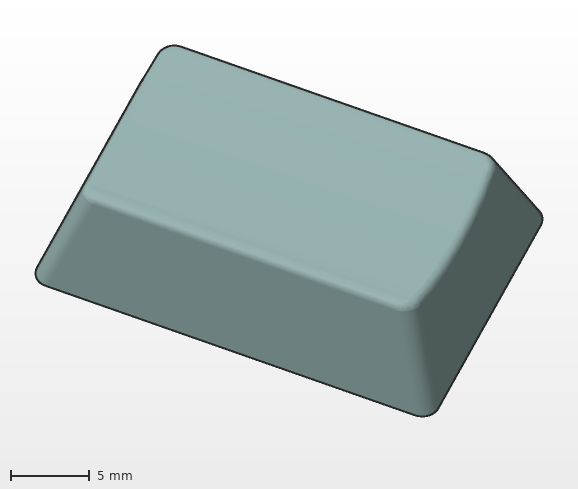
import cadquery as cq

base_length = 27.82
base_width = 18.3
wall_draft = 18.0
blank_height = 8.35
corner_radius = 1.2
dish_floor = 6.57
dish_radius = 23.65
rim_radius = 0.6


def drafted_block():
    """Rectangular block whose walls lean inward, with rounded corner edges."""
    block = cq.Workplane("XY").rect(base_length, base_width).extrude(blank_height, taper=wall_draft)
    return block.edges("not(#Z)").fillet(corner_radius)


def dish_cutter():
    """Cylinder along X, resting on the lowest line of the dish."""
    return (
        cq.Workplane("YZ")
        .center(0, dish_floor + dish_radius)
        .circle(dish_radius)
        .extrude(base_length / 2, both=True)
    )


def round_rim(body):
    """Round the closed edge loop around the dish."""
    dish_face = body.faces("%CYLINDER").faces(">Z")
    return dish_face.edges().fillet(rim_radius)


dished = drafted_block().cut(dish_cutter())
result = round_rim(dished)